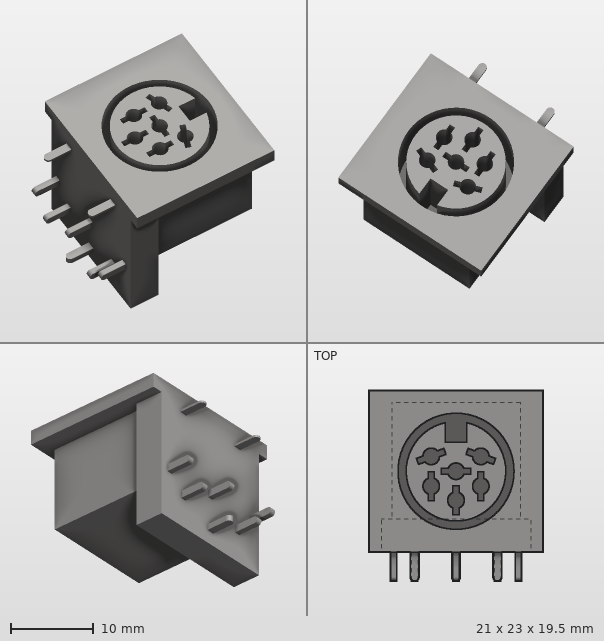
import cadquery as cq


FLANGE_WIDTH = 21.0
FLANGE_DEPTH = 19.5
FLANGE_THICKNESS = 2.0
HOUSING_HEIGHT = 19.5
PLATE_WIDTH = 17.99
PLATE_THICKNESS = 4.0
BODY_WIDTH = 15.55
BODY_HEIGHT = 13.5
BODY_REAR_SETBACK = 1.45

FRONT_Y = -FLANGE_DEPTH / 2
REAR_Y = FLANGE_DEPTH / 2

SOCKET_DIAMETER = 14.0
CORE_DIAMETER = 12.0
SOCKET_DEPTH = 9.0
KEY_WIDTH = 2.6
KEY_BOTTOM_Y = 3.5

CONTACT_DIAMETER = 2.0
CONTACT_SLOT_LENGTH = 3.52
CONTACT_SLOT_WIDTH = 0.75
CONTACT_DEPTH = SOCKET_DEPTH
CONTACT_SIDE_X = 3.0
CONTACT_SIDE_Y = 1.8
CONTACT_LOW_Y = -3.5
UPPER_SLOT_TILT = 20
CONTACTS = [
    (0, 0, 0),
    (0, CONTACT_LOW_Y, 90),
    (-CONTACT_SIDE_X, -CONTACT_SIDE_Y, 90),
    (CONTACT_SIDE_X, -CONTACT_SIDE_Y, 90),
    (-CONTACT_SIDE_X, CONTACT_SIDE_Y, UPPER_SLOT_TILT),
    (CONTACT_SIDE_X, CONTACT_SIDE_Y, -UPPER_SLOT_TILT),
]

OVERALL_DEPTH = 23
PIN_LENGTH = OVERALL_DEPTH - FLANGE_DEPTH
PIN_EMBED = 0.45
SIGNAL_PIN_WIDTH = 0.78
SIGNAL_PIN_HEIGHT = 1.0
SHIELD_PIN_WIDTH = 1.08
SHIELD_PIN_HEIGHT = 0.3
LOW_PIN_WIDTH = 1.05
LOW_PIN_HEIGHT = 0.8
OUTER_PIN_X = 7.52
INNER_PIN_X = 5.0
SHIELD_PIN_Z = -3.01
UPPER_PIN_Z = -12.4
MIDDLE_PIN_Z = -15.0
LOW_PIN_Z = -17.3


def block(width, y_min, y_max, z_min, z_max):
    """Box centred on X between the given Y and Z limits."""
    return (
        cq.Workplane("XY")
        .box(width, y_max - y_min, z_max - z_min, centered=(True, False, False))
        .translate((0, y_min, z_min))
    )


def housing():
    flange = block(FLANGE_WIDTH, FRONT_Y, REAR_Y, -FLANGE_THICKNESS, 0)
    plate = block(PLATE_WIDTH, FRONT_Y, FRONT_Y + PLATE_THICKNESS, -HOUSING_HEIGHT, 0)
    body = block(BODY_WIDTH, FRONT_Y, REAR_Y - BODY_REAR_SETBACK, -BODY_HEIGHT, 0)
    return flange.union(plate).union(body)


def socket_groove():
    """Ring around the core, widened at +Y by the key notch."""
    opening = cq.Workplane("XY").circle(SOCKET_DIAMETER / 2).extrude(-SOCKET_DEPTH)
    core = cq.Workplane("XY").circle(CORE_DIAMETER / 2).extrude(-SOCKET_DEPTH)
    notch = block(KEY_WIDTH, KEY_BOTTOM_Y, CORE_DIAMETER / 2, -SOCKET_DEPTH, 0)
    return opening.cut(core.cut(notch))


def contact_opening(x, y, angle):
    hole = cq.Workplane("XY").circle(CONTACT_DIAMETER / 2).extrude(-CONTACT_DEPTH)
    slot = cq.Workplane("XY").rect(CONTACT_SLOT_LENGTH, CONTACT_SLOT_WIDTH).extrude(-CONTACT_DEPTH)
    return hole.union(slot).rotate((0, 0, 0), (0, 0, 1), angle).translate((x, y, 0))


def pin(breadth, thickness):
    """Flat pin along -Y with a half-round tip across its breadth (X), centred on Z."""
    radius = breadth / 2
    shoulder_y = FRONT_Y - PIN_LENGTH + radius
    return (
        cq.Workplane("XY")
        .moveTo(-radius, FRONT_Y + PIN_EMBED)
        .lineTo(-radius, shoulder_y)
        .threePointArc((0, shoulder_y - radius), (radius, shoulder_y))
        .lineTo(radius, FRONT_Y + PIN_EMBED)
        .close()
        .extrude(thickness / 2, both=True)
    )


def upright_pin(width, height):
    """Pin turned on edge, so that its tip is rounded across its height (Z)."""
    return pin(height, width).rotate((0, 0, 0), (0, 1, 0), 90)


result = housing().cut(socket_groove())

for contact in CONTACTS:
    result = result.cut(contact_opening(*contact))

signal_pin = upright_pin(SIGNAL_PIN_WIDTH, SIGNAL_PIN_HEIGHT)
shield_pin = pin(SHIELD_PIN_WIDTH, SHIELD_PIN_HEIGHT)
low_pin = pin(LOW_PIN_WIDTH, LOW_PIN_HEIGHT)

for x in (-OUTER_PIN_X, 0, OUTER_PIN_X):
    result = result.union(signal_pin.translate((x, 0, UPPER_PIN_Z)))
for x in (-INNER_PIN_X, INNER_PIN_X):
    result = result.union(signal_pin.translate((x, 0, MIDDLE_PIN_Z)))
    result = result.union(shield_pin.translate((x, 0, SHIELD_PIN_Z)))
result = result.union(low_pin.translate((0, 0, LOW_PIN_Z)))